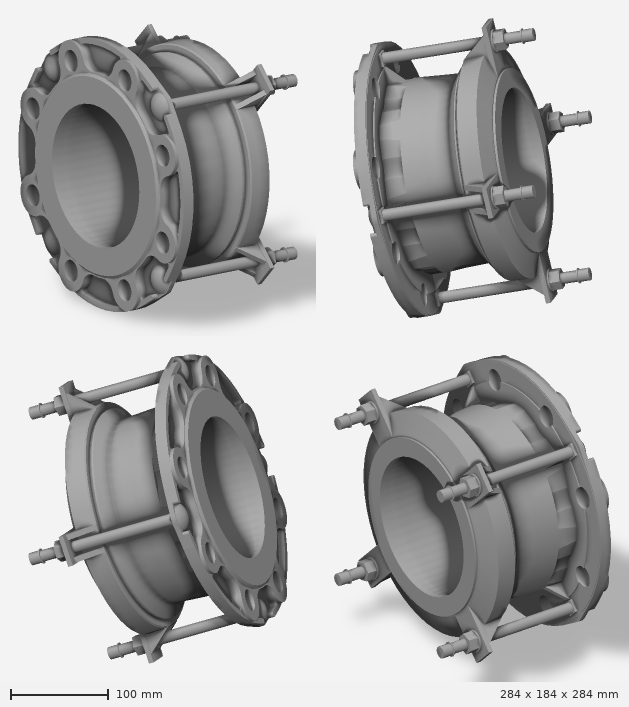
import cadquery as cq
import math


FLANGE_R = 142.0
FLANGE_FRONT = 6.8
FLANGE_BACK = 19.3
FACE_R = 106.5
FACE_EDGE_R = 103.7
FACE_BACK = 2.8
BACK_STEP_R = 140.6
BACK_STEP = 0.5
HUB_STEP_R = 119.3
HUB_STEP = 2.0

HOLE_COUNT = 8
HOLE_D = 23.0
HOLE_CIRCLE_R = 120.5
LUG_R = FLANGE_R - HOLE_CIRCLE_R
WEB_R = 122.2

POCKET_FLOOR = 14.0
RIM = 5.7
POCKET_INNER_R = 107.7
POCKET_INNER_FILLET = 17.0
POCKET_OUTER_FILLET = 2.8

BORE_R = 75.0
BODY_BASE_R = 102.3
NECK_R = 98.0
NECK_Z = 93.2
NECK_ROUND = 2.3
FLARE_R = 111.5
FLARE_START = 104.3
FLARE_END = 106.3
GAP_R = 110.5
RING_START = 109.0
RING_FRONT_R = 119.5
RING_CHAMFER = 1.5
RING_R = 120.8
RING_SHOULDER = 131.8
RING_END_R = 97.0
RING_END = 141.0
SLEEVE_R = 95.5
SLEEVE_END = 143.5

CLEARANCE_END = 43.0
CLEARANCE_FLAT = 97.2
CLEARANCE_WIDTH = 85.2
CLEARANCE_R = 25.5

CLAMP_COUNT = 4
CLAMP_CIRCLE_R = 129.5
CLAMP_BOSS_R = 16.0
EDGE_ANGLE = math.acos((FLANGE_R - CLAMP_BOSS_R) / CLAMP_CIRCLE_R)
ROD_D = 12.0
TIP_D = 13.0
COLLAR_D = 16.0
COLLAR_THICKNESS = 0.9
TIP_START = 171.5
ROD_END = 184.0
HEAD_D = 30.0
HEAD_HEIGHT = 6.8
HEAD_SLOT_WIDTH = 29.5
NECK_SQUARE = 14.0
NECK_SQUARE_END = 22.7
WASHER_D = 24.0
WASHER_THICKNESS = 2.0
NUT_ACROSS_CORNERS = 22.5
NUT_HEIGHT = 10.8
NUT_TURN = 30

EAR_WIDTH = 31.8
EAR_INNER_R = 93.8
EAR_OUTER_R = 149.2
EAR_FRONT = 135.8
GUSSET_INSET = 0.9
GUSSET_THICKNESS = 5.7
GUSSET_TOP_R = 140.5
RIB_THICKNESS = 5.7
RIB_OUTER_R = 120.8
RIB_TOP_R = 101.2
RIB_TOP = 40.5


def repeat(shape, count, start_angle):
    """Union of copies of a shape on the +X side, spread evenly about the axis."""
    copies = cq.Workplane("XY")
    for i in range(count):
        copies = copies.union(shape.rotate((0, 0, 0), (0, 0, 1), start_angle + i * 360 / count))
    return copies


def at_clamps(shape):
    return repeat(shape, CLAMP_COUNT, 45)


def at_holes(shape):
    return repeat(shape, HOLE_COUNT, 180 / HOLE_COUNT)


def disc(radius, bottom, top, x=0.0, y=0.0):
    return cq.Workplane("XY", origin=(x, y, bottom)).circle(radius).extrude(top - bottom)


def block(inner, outer, width, bottom, top):
    """Box on the +X side, centred on the XZ plane."""
    size = (outer - inner, width, top - bottom)
    return cq.Workplane("XY", origin=(inner, 0, bottom)).box(*size, centered=(False, True, False))


def turned(outline):
    """Solid turned about the pipe axis from an open outline in the XZ plane."""
    return outline.close().revolve(360, (0, 0), (0, 1))


def radial_plate(points, thickness, offset=0.0):
    """Plate with an outline of (radius, Z) points, its mid-plane offset from the XZ plane."""
    plane = cq.Workplane("XZ", origin=(0, offset, 0))
    return plane.polyline(points).close().extrude(thickness / 2, both=True)


def bossed_disc(inset, bottom, top, boss_angle):
    """Flange disc drawn out by straight tangents to a small round at each clamp bolt."""
    radius = FLANGE_R - inset
    boss_r = CLAMP_BOSS_R - inset
    disc_x = radius * math.cos(EDGE_ANGLE)
    disc_y = radius * math.sin(EDGE_ANGLE)
    boss_x = CLAMP_CIRCLE_R + boss_r * math.cos(EDGE_ANGLE)
    boss_y = boss_r * math.sin(EDGE_ANGLE)
    boss = (
        cq.Workplane("XY", origin=(0, 0, bottom))
        .lineTo(disc_x, -disc_y)
        .lineTo(boss_x, -boss_y)
        .threePointArc((CLAMP_CIRCLE_R + boss_r, 0), (boss_x, boss_y))
        .lineTo(disc_x, disc_y)
        .close()
        .extrude(top - bottom)
    )
    return disc(radius, bottom, top).union(repeat(boss, CLAMP_COUNT, boss_angle))


def pocket(outer_shape):
    """Pocket on the +X side between two lugs, inside the given outer shape."""
    lugs = at_holes(disc(LUG_R, 0, POCKET_FLOOR, HOLE_CIRCLE_R))
    hole_spacing = 2 * HOLE_CIRCLE_R * math.sin(math.pi / HOLE_COUNT)
    between_holes = block(0, EAR_OUTER_R, hole_spacing, 0, POCKET_FLOOR)
    return (
        outer_shape.intersect(between_holes)
        .cut(disc(POCKET_INNER_R, 0, POCKET_FLOOR))
        .cut(lugs)
        .edges("|Z and <X")
        .fillet(POCKET_INNER_FILLET)
        .edges("|Z and (>Y or <Y)")
        .fillet(POCKET_OUTER_FILLET)
    )


def all_pockets():
    """Closed pockets on the X and Y axes, and open-sided ones at the clamp bolts."""
    closed_pocket = pocket(disc(FLANGE_R - RIM, 0, POCKET_FLOOR))
    tip_r = RIM / 2
    tip_y = HEAD_SLOT_WIDTH / 2 + tip_r
    tip_x = (FLANGE_R - tip_r - tip_y * math.sin(EDGE_ANGLE)) / math.cos(EDGE_ANGLE)
    gap = block(CLAMP_CIRCLE_R, EAR_OUTER_R, 2 * tip_y, 0, POCKET_FLOOR)
    clamp_pocket = pocket(bossed_disc(RIM, 0, POCKET_FLOOR, 0)).union(gap)
    for y in (-tip_y, tip_y):
        clamp_pocket = clamp_pocket.cut(disc(tip_r, 0, POCKET_FLOOR, tip_x, y))
    return repeat(closed_pocket, CLAMP_COUNT, 0).union(at_clamps(clamp_pocket))


def flange():
    plate = bossed_disc(0, FLANGE_FRONT, FLANGE_BACK, 45)
    back = disc(BACK_STEP_R, FLANGE_BACK, FLANGE_BACK + BACK_STEP)
    hub = disc(HUB_STEP_R, FLANGE_BACK, FLANGE_BACK + HUB_STEP)
    webs = disc(WEB_R, FACE_BACK, FLANGE_FRONT)
    lugs = at_holes(disc(LUG_R, FACE_BACK, FLANGE_FRONT, HOLE_CIRCLE_R))
    face_profile = [(0, 0), (FACE_EDGE_R, 0), (FACE_R, FACE_BACK), (0, FACE_BACK)]
    face = turned(cq.Workplane("XZ").polyline(face_profile))
    return plate.union(back).union(hub).union(webs).union(lugs).union(face).cut(all_pockets())


def body():
    """Tapered body, flared neck and end ring, turned as one outline."""
    neck_slope = math.atan2(BODY_BASE_R - NECK_R, NECK_Z - FLANGE_BACK)
    flare_slope = math.atan2(FLARE_R - NECK_R, FLARE_START - NECK_Z)
    round_start = (NECK_R + NECK_ROUND * math.sin(neck_slope), NECK_Z - NECK_ROUND * math.cos(neck_slope))
    round_end = (NECK_R + NECK_ROUND * math.sin(flare_slope), NECK_Z + NECK_ROUND * math.cos(flare_slope))
    outline = (
        cq.Workplane("XZ")
        .moveTo(0, FLANGE_BACK)
        .lineTo(BODY_BASE_R, FLANGE_BACK)
        .lineTo(*round_start)
        .tangentArcPoint(round_end, relative=False)
        .lineTo(FLARE_R, FLARE_START)
        .lineTo(FLARE_R, FLARE_END)
        .lineTo(GAP_R, FLARE_END)
        .lineTo(GAP_R, RING_START)
        .lineTo(RING_FRONT_R - RING_CHAMFER, RING_START)
        .lineTo(RING_FRONT_R, RING_START + RING_CHAMFER)
        .lineTo(RING_R, RING_SHOULDER)
        .lineTo(RING_END_R, RING_END)
        .lineTo(SLEEVE_R, RING_END)
        .lineTo(SLEEVE_R, SLEEVE_END)
        .lineTo(0, SLEEVE_END)
    )
    return turned(outline)


def wrench_clearances():
    """A flat on the body behind each bolt hole, hollowed further about the hole axis."""
    bottom = FLANGE_BACK + HUB_STEP
    flat = block(CLEARANCE_FLAT, HOLE_CIRCLE_R, CLEARANCE_WIDTH, bottom, CLEARANCE_END)
    return at_holes(flat.union(disc(CLEARANCE_R, bottom, CLEARANCE_END, HOLE_CIRCLE_R)))


def bolt_holes():
    return at_holes(disc(HOLE_D / 2, 0, CLEARANCE_END, HOLE_CIRCLE_R))


def rib():
    points = [
        (BORE_R, FLANGE_BACK),
        (RIB_OUTER_R, FLANGE_BACK),
        (RIB_OUTER_R, FLANGE_BACK + HUB_STEP),
        (RIB_TOP_R, RIB_TOP),
        (BORE_R, RIB_TOP),
    ]
    return radial_plate(points, RIB_THICKNESS)


def ear():
    """Plate standing out from the end ring, braced by a gusset along each side."""
    plate = block(EAR_INNER_R, EAR_OUTER_R, EAR_WIDTH, EAR_FRONT, RING_END)
    points = [
        (EAR_INNER_R, RING_START),
        (RING_FRONT_R - RING_CHAMFER, RING_START),
        (GUSSET_TOP_R, EAR_FRONT),
        (EAR_INNER_R, EAR_FRONT),
    ]
    side = (EAR_WIDTH - GUSSET_THICKNESS) / 2 - GUSSET_INSET
    for offset in (-side, side):
        plate = plate.union(radial_plate(points, GUSSET_THICKNESS, offset))
    return plate


def clamp_bolt():
    """Domed head, square neck, rod, washer, nut and thicker tip with a collar."""
    x = CLAMP_CIRCLE_R
    head_r = HEAD_D / 2
    dome_r = (head_r**2 + HEAD_HEIGHT**2) / (2 * HEAD_HEIGHT)
    dome = (
        cq.Workplane("XY", origin=(x, 0, POCKET_FLOOR - HEAD_HEIGHT + dome_r))
        .sphere(dome_r)
        .intersect(disc(head_r, POCKET_FLOOR - HEAD_HEIGHT, POCKET_FLOOR, x))
    )
    neck_half = NECK_SQUARE / 2
    neck = block(x - neck_half, x + neck_half, NECK_SQUARE, POCKET_FLOOR, NECK_SQUARE_END)
    rod = disc(ROD_D / 2, POCKET_FLOOR, ROD_END, x)
    nut_bottom = RING_END + WASHER_THICKNESS
    washer = disc(WASHER_D / 2, RING_END, nut_bottom, x)
    nut = (
        cq.Workplane("XY", origin=(x, 0, nut_bottom))
        .transformed(rotate=(0, 0, NUT_TURN))
        .polygon(6, NUT_ACROSS_CORNERS)
        .extrude(NUT_HEIGHT)
    )
    collar = disc(COLLAR_D / 2, TIP_START, TIP_START + COLLAR_THICKNESS, x)
    tip = disc(TIP_D / 2, TIP_START, ROD_END, x)
    return dome.union(neck).union(rod).union(washer).union(nut).union(collar).union(tip)


coupling = flange().union(body().cut(wrench_clearances()))
coupling = coupling.union(at_clamps(rib().union(ear())))
coupling = coupling.cut(bolt_holes())
coupling = coupling.union(at_clamps(clamp_bolt()))
coupling = coupling.cut(disc(BORE_R, 0, SLEEVE_END))
result = coupling.rotate((0, 0, 0), (1, 0, 0), -90)